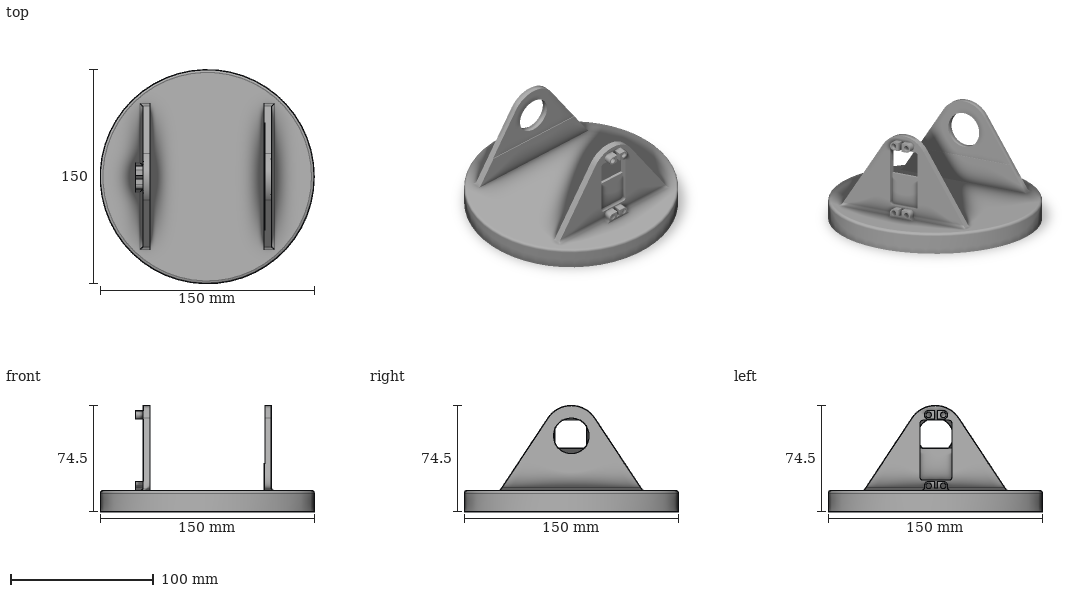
import cadquery as cq
import math

BASE_DIAMETER = 150.0
BASE_HEIGHT = 15.0
BASE_EDGE_RADIUS = 2.0

TOTAL_HEIGHT = 74.5
PLATE_INNER_X = 39.9
PLATE_THICKNESS = 5.0
PLATE_OUTER_X = PLATE_INNER_X + PLATE_THICKNESS
TIP_RADIUS = 19.6
FOOT_HALF_WIDTH = 50.0
FOOT_FILLET = 2.1

BEARING_HOLE_RADIUS = 12.5
BEARING_HOLE_Z = 53.2
RELIEF_DEPTH = 0.5
RELIEF_START_Z = 33.9

MOUNT_CENTER_Y = -0.5
WINDOW_WIDTH = 22.2
WINDOW_BOTTOM_Z = 22.2
WINDOW_TOP_Z = 64.2
WINDOW_CORNER_RADIUS = 2.0
WEB_TOP_Z = 44.7
WEB_THICKNESS = 2.0

BOSS_LENGTH = 5.4
BOSS_RADIUS = 3.0
BOSS_SPACING = 10.2
BOSS_GAP = 2.4
BOSS_HOLE_DIAMETER = 3.9
UPPER_BOSS_Z = 68.0
LOWER_BOSS_Z = 18.3
LOWER_GAP_FLOOR_Z = 16.6


def box(x_range, y_range, z_range):
    """Axis-aligned block given by its two limits along each axis."""
    sizes = [high - low for low, high in (x_range, y_range, z_range)]
    corner = (x_range[0], y_range[0], z_range[0])
    return cq.Workplane("XY").box(*sizes, centered=False).translate(corner)


def yz_plane(x):
    """Sketch plane facing +X whose local axes are Y and Z."""
    return cq.Workplane("YZ", origin=(x, 0, 0))


def make_base():
    disc = cq.Workplane("XY").circle(BASE_DIAMETER / 2).extrude(BASE_HEIGHT)
    return disc.faces(">Z").edges().fillet(BASE_EDGE_RADIUS)


def make_plate(start_x):
    """Plate whose straight sides run tangent into the round tip."""
    tip_center_z = TOTAL_HEIGHT - TIP_RADIUS
    rise = tip_center_z - BASE_HEIGHT
    foot_to_center = math.hypot(FOOT_HALF_WIDTH, rise)
    tangent_angle = math.acos(TIP_RADIUS / foot_to_center) - math.atan2(rise, FOOT_HALF_WIDTH)
    tangent_y = TIP_RADIUS * math.cos(tangent_angle)
    tangent_z = tip_center_z + TIP_RADIUS * math.sin(tangent_angle)
    return (
        yz_plane(start_x)
        .moveTo(-FOOT_HALF_WIDTH, BASE_HEIGHT)
        .lineTo(FOOT_HALF_WIDTH, BASE_HEIGHT)
        .lineTo(tangent_y, tangent_z)
        .threePointArc((0, TOTAL_HEIGHT), (-tangent_y, tangent_z))
        .close()
        .extrude(PLATE_THICKNESS)
    )


def boss_pair(center_z):
    """Two bosses, rounded outside and flat toward the gap between them."""
    boss_x = (-PLATE_OUTER_X - BOSS_LENGTH, -PLATE_OUTER_X)
    pair = cq.Workplane("XY")
    for side in (-1, 1):
        center_y = MOUNT_CENTER_Y + side * BOSS_SPACING / 2
        flat_y = MOUNT_CENTER_Y + side * BOSS_GAP / 2
        round_end = yz_plane(boss_x[0]).center(center_y, center_z).circle(BOSS_RADIUS).extrude(BOSS_LENGTH)
        block = box(boss_x, sorted((center_y, flat_y)), (center_z - BOSS_RADIUS, center_z + BOSS_RADIUS))
        pair = pair.add(round_end.union(block))
    return pair.combine()


def lower_boss_block():
    """Solid block that carries the lower bosses down onto the base."""
    boss_x = (-PLATE_OUTER_X - BOSS_LENGTH, -PLATE_OUTER_X)
    half_width = BOSS_SPACING / 2 + BOSS_RADIUS
    outer_y = (MOUNT_CENTER_Y - half_width, MOUNT_CENTER_Y + half_width)
    gap_y = (MOUNT_CENTER_Y - BOSS_GAP / 2, MOUNT_CENTER_Y + BOSS_GAP / 2)
    top_z = LOWER_BOSS_Z + BOSS_RADIUS
    block = box(boss_x, outer_y, (BASE_HEIGHT, top_z))
    block = block.edges("|X and >Z").fillet(BOSS_RADIUS)
    return block.cut(box(boss_x, gap_y, (LOWER_GAP_FLOOR_Z, top_z)))


def screw_holes():
    """Blind holes running the length of the bosses."""
    centers = [
        (MOUNT_CENTER_Y + side * BOSS_SPACING / 2, z)
        for side in (-1, 1)
        for z in (LOWER_BOSS_Z, UPPER_BOSS_Z)
    ]
    start = yz_plane(-PLATE_OUTER_X - BOSS_LENGTH)
    return start.pushPoints(centers).circle(BOSS_HOLE_DIAMETER / 2).extrude(BOSS_LENGTH)


def make_window():
    """Rounded opening, cut only to the web below the web's top edge."""
    height = WINDOW_TOP_Z - WINDOW_BOTTOM_Z
    opening = (
        yz_plane(-PLATE_OUTER_X)
        .center(MOUNT_CENTER_Y, WINDOW_BOTTOM_Z + height / 2)
        .rect(WINDOW_WIDTH, height)
        .extrude(PLATE_THICKNESS)
        .edges("|X")
        .fillet(WINDOW_CORNER_RADIUS)
    )
    web_y = (MOUNT_CENTER_Y - WINDOW_WIDTH / 2, MOUNT_CENTER_Y + WINDOW_WIDTH / 2)
    web = box((-PLATE_INNER_X - WEB_THICKNESS, -PLATE_INNER_X), web_y, (WINDOW_BOTTOM_Z, WEB_TOP_Z))
    return opening.cut(web)


def is_foot_edge(edge):
    """True for straight edges on top of the base that get a fillet."""
    bounds = edge.BoundingBox()
    tolerance = 0.002
    on_base = abs(bounds.zmin - BASE_HEIGHT) < tolerance and abs(bounds.zmax - BASE_HEIGHT) < tolerance
    center = edge.Center()
    on_inner_face = abs(abs(center.x) - PLATE_INNER_X) < tolerance
    on_boss_front = abs(center.x + PLATE_OUTER_X + BOSS_LENGTH) < tolerance
    return on_base and edge.geomType() == "LINE" and not on_inner_face and not on_boss_front


body = make_base()
body = body.union(make_plate(-PLATE_OUTER_X)).union(make_plate(PLATE_INNER_X))
body = body.union(lower_boss_block())
foot_edges = [edge for edge in body.edges().vals() if is_foot_edge(edge)]
body = body.newObject(foot_edges).fillet(FOOT_FILLET)

body = body.union(boss_pair(UPPER_BOSS_Z))
body = body.cut(make_window()).cut(screw_holes())

bearing_hole = (
    yz_plane(PLATE_INNER_X).center(0, BEARING_HOLE_Z).circle(BEARING_HOLE_RADIUS).extrude(PLATE_THICKNESS)
)
relief = box(
    (PLATE_INNER_X, PLATE_INNER_X + RELIEF_DEPTH),
    (-FOOT_HALF_WIDTH, FOOT_HALF_WIDTH),
    (RELIEF_START_Z, TOTAL_HEIGHT),
)
result = body.cut(bearing_hole).cut(relief)